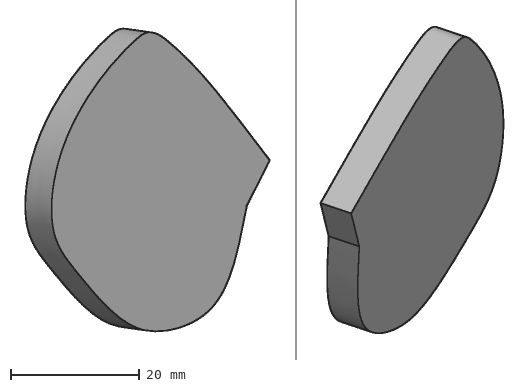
import cadquery as cq
import math

thickness = 5.5
turn_deg = 15.3
rise_deg = 24.0

tip = (-23.9, 12.65)
tip_edge_end = (-23.45, 11.0)
notch = (-16.0, 15.6)
seam = (21.5, -0.15)

notch_direction = (0.75, 0.66)
seam_direction = (0.28, -0.96)
flank_direction = (-0.24, 0.97)

lower_lobe = [
    (-10.3, 20.7),
    (-2.9, 24.4),
    (7.3, 22.2),
    (14.0, 17.1),
    (18.7, 8.6),
    seam,
]

upper_lobe = [
    (22.6, -7.5),
    (17.8, -15.8),
    (8.9, -20.9),
    (-1.5, -22.9),
    (-7.5, -22.95),
    (-10.55, -22.4),
    (-14.6, -17.1),
    (-18.8, -5.95),
    (-21.4, 3.2),
    tip_edge_end,
]


def lower_face_plane():
    """Plane of the lower face, half a thickness from the origin against the plate normal."""
    turn = math.radians(turn_deg)
    rise = math.radians(rise_deg)
    normal = (
        math.cos(rise) * math.cos(turn),
        math.cos(rise) * math.sin(turn),
        math.sin(rise),
    )
    origin = tuple(-thickness / 2 * component for component in normal)
    level = (math.sin(turn), -math.cos(turn), 0)
    return cq.Plane(origin=origin, xDir=level, normal=normal)


def plate():
    """Outline of two straight edges at the tip and two lobes that join smoothly, made solid."""
    outline = (
        cq.Workplane(lower_face_plane())
        .moveTo(*tip)
        .lineTo(*notch)
        .spline(lower_lobe, [notch_direction, seam_direction], scale=False, includeCurrent=True)
        .spline(upper_lobe, [seam_direction, flank_direction], scale=False, includeCurrent=True)
        .close()
    )
    return outline.extrude(thickness)


result = plate()